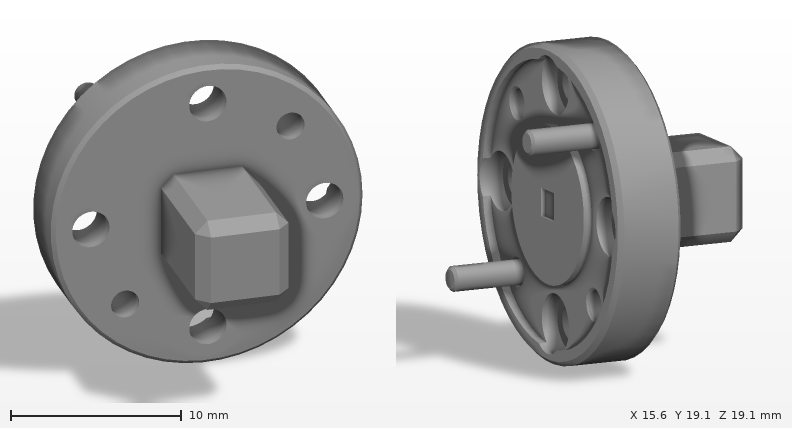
import cadquery as cq

FLANGE_DIAMETER = 19.05
FLANGE_THICKNESS = 4.08
FRONT_CHAMFER = 0.29
BACK_CHAMFER = 0.25

RECESS_OUTER_DIAMETER = 17.18
PAD_DIAMETER = FLANGE_DIAMETER / 2
RECESS_DEPTH = 0.51

SOCKET_SIDE = 1.71
SOCKET_DEPTH = 0.25

SHANK_SIDE = 5.72
SHANK_LENGTH = 7.62
SHANK_CHAMFER = 0.76

HOLE_CIRCLE_RADIUS = 7.15
BOLT_HOLE_DIAMETER = 2.27
COUNTERBORE_DIAMETER = 3.56
COUNTERBORE_DEPTH = 1.52
GUIDE_HOLE_DIAMETER = 1.71
GUIDE_HOLE_CHAMFER = 0.15

PIN_DIAMETER = 1.52
PIN_PROJECTION = 3.87
PIN_CHAMFER = 0.17
PIN_SEAT_CHAMFER = 0.15

BOLT_ANGLES = [0, 90, 180, 270]
GUIDE_ANGLES = [45, 225]
PIN_ANGLES = [135, 315]


def rod(diameter, start, end):
    """Cylinder about the X axis between two X positions."""
    return cq.Workplane("YZ").workplane(offset=start).circle(diameter / 2).extrude(end - start)


def on_hole_circle(shape, angle):
    """Move a shape from the X axis to its place on the hole circle; angle 0 is +Y."""
    return shape.translate((0, HOLE_CIRCLE_RADIUS, 0)).rotate((0, 0, 0), (1, 0, 0), angle)


def flange_disc():
    disc = rod(FLANGE_DIAMETER, 0, FLANGE_THICKNESS)
    disc = disc.faces("<X").chamfer(FRONT_CHAMFER).faces(">X").chamfer(BACK_CHAMFER)
    recess = rod(RECESS_OUTER_DIAMETER, 0, RECESS_DEPTH).cut(rod(PAD_DIAMETER, 0, RECESS_DEPTH))
    socket = cq.Workplane("YZ").rect(SOCKET_SIDE, SOCKET_SIDE).extrude(SOCKET_DEPTH)
    return disc.cut(recess).cut(socket)


def drive_shank():
    shank = (
        cq.Workplane("YZ").workplane(offset=FLANGE_THICKNESS)
        .rect(SHANK_SIDE, SHANK_SIDE).extrude(SHANK_LENGTH)
    )
    return shank.edges("|X or >X").chamfer(SHANK_CHAMFER)


def bolt_hole_cutter():
    through = rod(BOLT_HOLE_DIAMETER, 0, FLANGE_THICKNESS)
    return through.union(rod(COUNTERBORE_DIAMETER, 0, COUNTERBORE_DEPTH))


def chamfered_hole_cutter(diameter, chamfer):
    """Through hole with a chamfered mouth at the floor of the recess."""
    mouth = (
        cq.Workplane("YZ").workplane(offset=RECESS_DEPTH).circle(diameter / 2 + chamfer)
        .workplane(offset=chamfer).circle(diameter / 2).loft()
    )
    return rod(diameter, RECESS_DEPTH, FLANGE_THICKNESS).union(mouth)


def make_housing():
    housing = flange_disc().union(drive_shank())
    bolt_hole = bolt_hole_cutter()
    for angle in BOLT_ANGLES:
        housing = housing.cut(on_hole_circle(bolt_hole, angle))
    guide_hole = chamfered_hole_cutter(GUIDE_HOLE_DIAMETER, GUIDE_HOLE_CHAMFER)
    for angle in GUIDE_ANGLES:
        housing = housing.cut(on_hole_circle(guide_hole, angle))
    pin_hole = chamfered_hole_cutter(PIN_DIAMETER, PIN_SEAT_CHAMFER)
    for angle in PIN_ANGLES:
        housing = housing.cut(on_hole_circle(pin_hole, angle))
    return housing


def make_pin(angle):
    pin = rod(PIN_DIAMETER, -PIN_PROJECTION, FLANGE_THICKNESS)
    return on_hole_circle(pin.faces("<X").chamfer(PIN_CHAMFER), angle)


housing = make_housing()
pins = [make_pin(angle) for angle in PIN_ANGLES]

result = cq.Compound.makeCompound([housing.val(), *[pin.val() for pin in pins]])